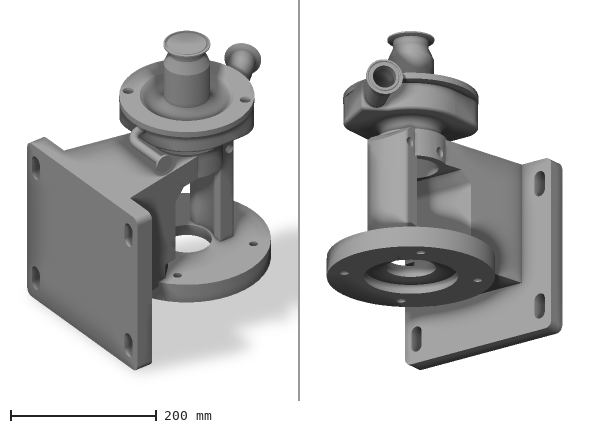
import cadquery as cq
import math


plate_side = 250.0
plate_thick = 25.5
plate_front = -179.7
plate_back = plate_front + plate_thick
plate_corner = 10.0
slot_width = 17.7
slot_length = 36.5
slot_pitch_x = 210.5
slot_pitch_z = 179.7

motor_radius = 115.3
motor_bottom = 54.5
motor_top = 83.5
motor_bolt_offset = 65.3
motor_bolt_radius = 6.0
motor_bore_radius = 34.3
motor_recess_radius = 64.5
motor_recess_depth = 13.0

arm_bottom = 76.0
arm_half_at_axis = 44.0
arm_taper = 0.2
window_front = -62.5
window_top = 213.5
window_chamfer = 17.5
window_round = 10.0
notch_front = -83.0
notch_top = 104.8

ring_radius = 50.0
ring_top = 253.0
ring_bore_radius = 38.0
ring_hole_radius = 7.3
ring_hole_z = 225.5
column_half = 34.3
column_front = 32.0
column_back_radius = 64.5
column_corner = 6.0
column_hole_y = 47.5
column_hole_z = 229.7
column_hole_radius = 7.0
column_slope_run = 19.5
column_slope_drop = 15.7

neck_radius = 42.5
neck_flare = 9.3

casing_bottom = 272.5
casing_top = 310.0
casing_radius = 75.8
casing_corner = 34.3
casing_edge_round = 4.5
flange_radius = 92.5
flange_top = 318.5
flange_bolt_offset = 57.2
flange_bolt_radius = 7.5
flange_bolt_tip_radius = 5.0

dish_radius = 64.5
dish_floor_radius = 57.5
dish_depth = 6.0
trough_depth = 10.0

groove_round = 1.5

inlet_top = 403.0
inlet_radius = 32.0
inlet_rim_radius = 32.2
inlet_neck_radius = 24.5
inlet_cone_bottom = 371.5
inlet_cone_top = 388.5
inlet_rim = 2.0
inlet_rim_cone = 2.0
inlet_groove_radius = 28.5

outlet_z = 289.8
outlet_offset = 57.5
outlet_end = 144.5
outlet_cone_end = 123.0
outlet_start_radius = 14.5
outlet_radius = 18.0
outlet_wall = 2.0
outlet_rim_radius = 25.5
outlet_rim = 2.0
outlet_rim_cone = 4.0
outlet_groove_radius = 21.5
duct_end = 63.3
duct_outer = 77.5
duct_bend = 10.0
duct_bend_offset = 91.0
duct_inner = 40.5

drain_z = 293.5
drain_radius = 6.5
drain_bend_radius = 28.5
drain_bend_y = -76.5
drain_end = 88.5
drain_rim_radius = 13.0
drain_rim = 3.2
drain_rim_cone = 2.0


def cylinder(radius, bottom, top, x=0.0, y=0.0):
    """Vertical cylinder between two heights."""
    return cq.Workplane("XY", origin=(x, y, bottom)).circle(radius).extrude(top - bottom)


def revolved(points):
    """Solid of revolution about Z from (radius, height) points."""
    return cq.Workplane("XZ").polyline(points).close().revolve(360, (0, 0), (0, 1))


def make_plate():
    middle = plate_side / 2
    plate = (
        cq.Workplane("XY")
        .box(plate_side, plate_thick, plate_side)
        .edges("|Y")
        .fillet(plate_corner)
        .faces("<Y")
        .workplane(centerOption="CenterOfBoundBox")
        .rarray(slot_pitch_x, slot_pitch_z, 2, 2)
        .slot2D(slot_length, slot_width, 90)
        .cutThruAll()
    )
    return plate.translate((0, plate_front + plate_thick / 2, middle))


def make_arm():
    half_at_plate = arm_half_at_axis - arm_taper * plate_back
    arm = (
        cq.Workplane("XY", origin=(0, 0, arm_bottom))
        .polyline([
            (-half_at_plate, plate_back),
            (half_at_plate, plate_back),
            (arm_half_at_axis, 0),
            (-arm_half_at_axis, 0),
        ])
        .close()
        .extrude(plate_side - arm_bottom)
    )
    return arm.union(cylinder(ring_radius, window_top, ring_top))


def make_window():
    """Opening between the motor flange and the bearing ring, open to the rear."""
    depth = 2 * motor_radius
    return (
        cq.Workplane("XY")
        .box(depth, depth, window_top - arm_bottom, centered=(True, False, False))
        .edges("|X and >Z and <Y")
        .chamfer(window_chamfer)
        .faces("<Y")
        .edges(">Z")
        .fillet(window_round)
        .translate((0, window_front, arm_bottom))
    )


def make_notch(side):
    """Clearance beside a front motor bolt, cut along a 45 degree plane."""
    edge = arm_half_at_axis - arm_taper * notch_front
    run = window_front - notch_front
    return (
        cq.Workplane("XY", origin=(0, 0, arm_bottom))
        .polyline([
            (side * edge, notch_front),
            (side * (edge - run), window_front),
            (side * (edge + run), window_front),
            (side * (edge + run), notch_front),
        ])
        .close()
        .extrude(notch_top - arm_bottom)
    )


def make_column():
    corner_y = math.sqrt(column_back_radius**2 - column_half**2)
    column = (
        cq.Workplane("XY", origin=(0, 0, motor_top))
        .moveTo(-column_half, column_front)
        .lineTo(column_half, column_front)
        .lineTo(column_half, corner_y)
        .threePointArc((0, column_back_radius), (-column_half, corner_y))
        .close()
        .extrude(ring_top - motor_top)
        .edges("|Z and (not <Y)")
        .fillet(column_corner)
    )
    slope = (
        cq.Workplane("YZ")
        .polyline([
            (column_back_radius, ring_top),
            (column_back_radius - column_slope_run, ring_top),
            (column_back_radius, ring_top - column_slope_drop),
        ])
        .close()
        .extrude(column_half, both=True)
    )
    return column.cut(slope)


def make_bracket():
    arm = make_arm().cut(make_window())
    for side in (-1, 1):
        arm = arm.cut(make_notch(side))
    bracket = arm.union(make_column()).cut(cylinder(ring_bore_radius, motor_top, plate_side))
    bracket = bracket.union(cylinder(motor_radius, motor_bottom, motor_top)).union(make_plate())
    bracket = bracket.cut(cylinder(motor_bore_radius, motor_bottom, motor_top))
    recess_top = motor_bottom + motor_recess_depth
    bracket = bracket.cut(cylinder(motor_recess_radius, motor_bottom, recess_top))
    for x in (-motor_bolt_offset, motor_bolt_offset):
        for y in (-motor_bolt_offset, motor_bolt_offset):
            bracket = bracket.cut(cylinder(motor_bolt_radius, motor_bottom, motor_top, x, y))
    column_hole = (
        cq.Workplane("YZ")
        .center(column_hole_y, column_hole_z)
        .circle(column_hole_radius)
        .extrude(column_half, both=True)
    )
    ring_hole = (
        cq.Workplane("YZ").center(0, ring_hole_z).circle(ring_hole_radius).extrude(-ring_radius)
    )
    return bracket.cut(column_hole).cut(ring_hole)


def make_neck():
    flare_bottom = casing_bottom - neck_flare
    flare_radius = neck_radius + neck_flare
    bulge = neck_flare * math.sqrt(0.5)
    return (
        cq.Workplane("XZ")
        .moveTo(0, plate_side)
        .lineTo(neck_radius, plate_side)
        .lineTo(neck_radius, flare_bottom)
        .threePointArc(
            (flare_radius - bulge, flare_bottom + bulge),
            (flare_radius, casing_bottom),
        )
        .lineTo(0, casing_bottom)
        .close()
        .revolve(360, (0, 0), (0, 1))
    )


def along_outlet(distance, offset):
    """XY point at a distance along the outlet and an offset from the pump axis."""
    half = math.sqrt(0.5)
    return ((offset - distance) * half, (offset + distance) * half)


def make_casing():
    height = casing_top - casing_bottom
    body = cylinder(casing_radius, casing_bottom, casing_top)
    for side in (-1, 1):
        corner = (
            cq.Workplane("XY", origin=(0, 0, casing_bottom))
            .rect(side * casing_radius, side * casing_radius, centered=False)
            .extrude(height)
            .edges("|Z and >(1,1,0)" if side > 0 else "|Z and <(1,1,0)")
            .fillet(casing_corner)
        )
        body = body.union(corner)
    duct = (
        cq.Workplane("XY", origin=(0, 0, casing_bottom))
        .polyline([
            along_outlet(0, duct_inner),
            along_outlet(duct_end, duct_inner),
            along_outlet(duct_end, duct_outer),
            along_outlet(duct_bend, duct_bend_offset),
            along_outlet(0, duct_outer),
        ])
        .close()
        .extrude(height)
    )
    body = body.union(duct).faces("<Z").edges().fillet(casing_edge_round)
    return body.union(cylinder(flange_radius, casing_top, flange_top))


def make_dish():
    """Sloped rim and rounded trough sunk into the flange around the inlet pipe."""
    floor = flange_top - dish_depth
    return (
        cq.Workplane("XZ")
        .moveTo(inlet_radius, flange_top)
        .lineTo(dish_radius, flange_top)
        .lineTo(dish_floor_radius, floor)
        .threePointArc(
            ((inlet_radius + dish_floor_radius) / 2, flange_top - trough_depth),
            (inlet_radius, flange_top),
        )
        .close()
        .revolve(360, (0, 0), (0, 1))
    )


def gasket_groove(radius, height):
    """Ring that cuts a half-round groove into a pipe end at a given height."""
    return (
        cq.Workplane("XZ")
        .center(radius, height)
        .circle(groove_round)
        .revolve(360, (-radius, 0), (-radius, 1))
    )


def make_inlet():
    rim_bottom = inlet_top - inlet_rim
    pipe = revolved([
        (0, casing_bottom),
        (inlet_radius, casing_bottom),
        (inlet_radius, inlet_cone_bottom),
        (inlet_neck_radius, inlet_cone_top),
        (inlet_neck_radius, rim_bottom - inlet_rim_cone),
        (inlet_rim_radius, rim_bottom),
        (inlet_rim_radius, inlet_top),
        (0, inlet_top),
    ])
    return pipe.cut(gasket_groove(inlet_groove_radius, inlet_top))


def make_outlet():
    rim_start = outlet_end - outlet_rim
    spout = revolved([
        (0, 0),
        (outlet_start_radius, 0),
        (outlet_start_radius, duct_end),
        (outlet_radius, outlet_cone_end),
        (outlet_radius, rim_start - outlet_rim_cone),
        (outlet_rim_radius, rim_start),
        (outlet_rim_radius, outlet_end),
        (0, outlet_end),
    ])
    bore = revolved([
        (0, duct_end),
        (outlet_start_radius - outlet_wall, duct_end),
        (outlet_radius - outlet_wall, outlet_cone_end),
        (outlet_radius - outlet_wall, outlet_end),
        (0, outlet_end),
    ])
    spout = spout.cut(bore).cut(gasket_groove(outlet_groove_radius, outlet_end))
    x, y = along_outlet(0, outlet_offset)
    return (
        spout.rotate((0, 0, 0), (1, 0, 0), -90)
        .rotate((0, 0, 0), (0, 0, 1), 45)
        .translate((x, y, outlet_z))
    )


def make_drain():
    bend_end_y = drain_bend_y - drain_bend_radius
    reach = drain_bend_radius * math.sqrt(0.5)
    path = (
        cq.Workplane("XY", origin=(0, 0, drain_z))
        .moveTo(0, -casing_radius / 2)
        .lineTo(0, drain_bend_y)
        .threePointArc(
            (drain_bend_radius - reach, drain_bend_y - reach),
            (drain_bend_radius, bend_end_y),
        )
        .lineTo(drain_end, bend_end_y)
    )
    pipe = (
        cq.Workplane("XZ", origin=(0, -casing_radius / 2, drain_z))
        .circle(drain_radius)
        .sweep(path)
    )
    rim = revolved([
        (0, -drain_rim - drain_rim_cone),
        (drain_radius, -drain_rim - drain_rim_cone),
        (drain_rim_radius, -drain_rim),
        (drain_rim_radius, 0),
        (0, 0),
    ])
    rim = rim.rotate((0, 0, 0), (0, 1, 0), 90).translate((drain_end, bend_end_y, drain_z))
    return pipe.union(rim)


def make_flange_bolt_hole(offset):
    """Countersunk hole through the flange, ending at the casing corner."""
    return revolved([
        (0, casing_top),
        (flange_bolt_tip_radius, casing_top),
        (flange_bolt_radius, flange_top),
        (0, flange_top),
    ]).translate((offset, offset, 0))


casing = make_casing().cut(make_dish())
for bolt_offset in (-flange_bolt_offset, flange_bolt_offset):
    casing = casing.cut(make_flange_bolt_hole(bolt_offset))

result = make_bracket()
for piece in (make_neck(), casing, make_inlet(), make_outlet(), make_drain()):
    result = result.union(piece)